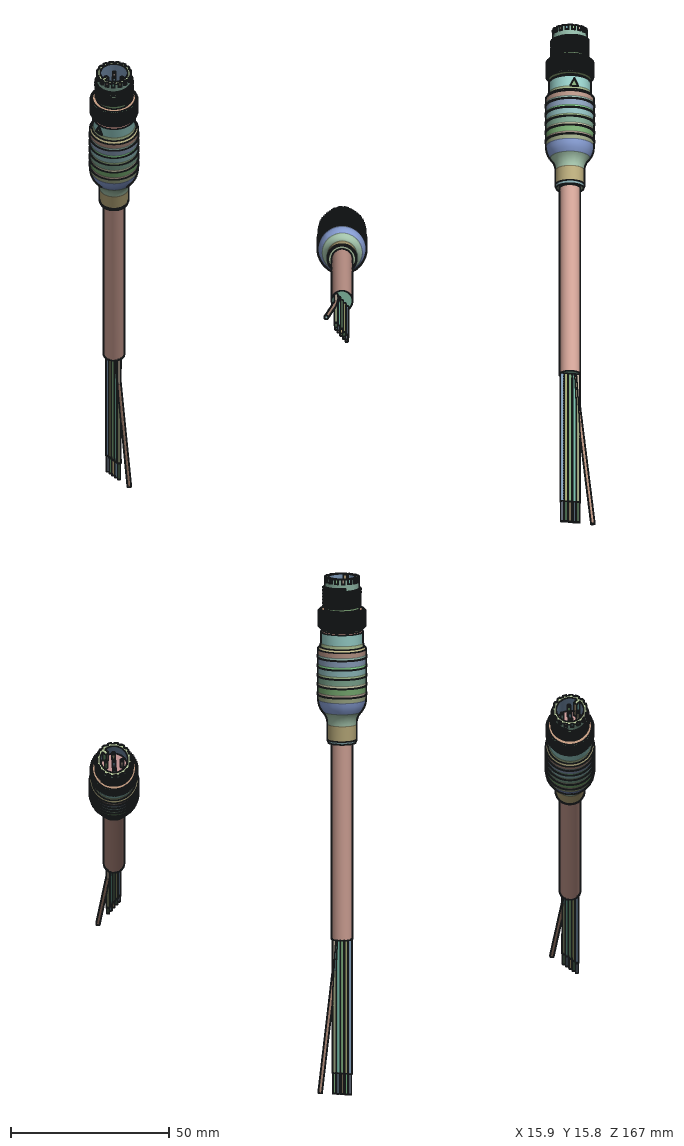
import cadquery as cq
import math


SLEEVE_RADIUS = 5.5
CUP_RADIUS = 4.3
CUP_DEPTH = 8.4
RIM_SLOT_COUNT = 16
RIM_SLOT_DEPTH = 1.5
RIM_SLOT_WIDTH = 1.0
RIM_SLOT_RADIUS = 5.2
KEY_WIDTH = 1.2
KEY_TIP_RADIUS = 2.8

PIN_RADIUS = 0.5
PIN_CHAMFER = 0.2
PIN_CIRCLE_RADIUS = 2.5
PIN_RECESS = 1.7
RING_PIN_COUNT = 4

THREAD_RADIUS = 6.0
THREAD_PITCH = 1.0
THREAD_TOP = 3.2
THREAD_BOTTOM = 9.5
THREAD_ROOT_OVERLAP = 0.2
THREAD_CREST_WIDTH = 0.2
THREAD_ROOT_WIDTH = 0.8

NUT_RADIUS = 7.5
NUT_TOP = 10.4
NUT_BOTTOM = 16.4
NUT_CHAMFER = 0.7
KNURL_COUNT = 72
KNURL_DEPTH = 0.3
COLLAR_RADIUS = 4.5

BOOT_TOP = 17.2
BOOT_TOP_RADIUS = 6.7
BOOT_TOP_CHAMFER = 0.5
STEP_DEPTH = 21.2
STEP_RADIUS = 7.0
SHOULDER_TOP = 22.4
SHOULDER_BOTTOM = 23.2
GRIP_RADIUS = 7.7
RIDGE_RADIUS = 7.9
RIDGE_COUNT = 5
RIDGE_PITCH = 3.0
FIRST_RIDGE_TOP = 24.9
RIDGE_CREST_DROP = 0.8
RIDGE_HEIGHT = 1.0
GRIP_BOTTOM = 39.5
BULGE_RADIUS = 7.4
BULGE_DEPTH = 41.5
INFLECTION_RADIUS = 6.3
INFLECTION_DEPTH = 43.3
FLARE_RADIUS = 5.2
FLARE_DEPTH = 45.0
WAIST_RADIUS = 4.7
WAIST_TOP = 47.5
WAIST_BOTTOM = 52.5
BOOT_BOTTOM = 53.5
BOOT_END_RADIUS = 4.3

ARROW_TIP = 18.5
ARROW_BASE = STEP_DEPTH
ARROW_HALF_WIDTH = 1.3
ARROW_RECESS = 0.3

CABLE_RADIUS = 3.3
CABLE_END = 116.8
PART_LENGTH = 167.0
WIRE_RADIUS = 0.63
WIRE_OFFSETS = (-2.59, -1.35, 0, 1.35, 2.59)
WIRE_Y = -0.25
WIRE_END = 166.9
STRIP_DEPTH = 160.2
CONDUCTOR_RADIUS = 0.47
WIRE_EMBED = 1.7
BENT_WIRE_START = 1.3
BENT_WIRE_REACH = 8.0


def rod(radius, top, bottom, x=0, y=0):
    """Upright cylinder between two depths."""
    return cq.Workplane("XY", origin=(x, y, -bottom)).circle(radius).extrude(bottom - top)


def make_sleeve():
    sleeve = rod(SLEEVE_RADIUS, 0, NUT_TOP + NUT_CHAMFER).cut(rod(CUP_RADIUS, 0, CUP_DEPTH))
    slot_length = SLEEVE_RADIUS
    slots = (
        cq.Workplane("XY")
        .polarArray(RIM_SLOT_RADIUS + slot_length / 2, 0, 360, RIM_SLOT_COUNT)
        .rect(slot_length, RIM_SLOT_WIDTH)
        .extrude(-RIM_SLOT_DEPTH)
    )
    key_wall_radius = (CUP_RADIUS + SLEEVE_RADIUS) / 2
    key_length = key_wall_radius - KEY_TIP_RADIUS
    key = (
        cq.Workplane("XY", origin=(0, -(KEY_TIP_RADIUS + key_length / 2), 0))
        .rect(KEY_WIDTH, key_length)
        .extrude(-CUP_DEPTH)
    )
    return sleeve.cut(slots).union(key)


def make_pin(x, y):
    pin_bottom = CUP_DEPTH + PIN_RADIUS
    return rod(PIN_RADIUS, PIN_RECESS, pin_bottom, x, y).faces(">Z").edges().chamfer(PIN_CHAMFER)


def make_pins():
    pins = make_pin(0, 0)
    for i in range(RING_PIN_COUNT):
        angle = 2 * math.pi * (i + 0.5) / RING_PIN_COUNT
        x = PIN_CIRCLE_RADIUS * math.cos(angle)
        y = PIN_CIRCLE_RADIUS * math.sin(angle)
        pins = pins.union(make_pin(x, y))
    return pins


def make_thread():
    root_radius = SLEEVE_RADIUS - THREAD_ROOT_OVERLAP
    path = cq.Wire.makeHelix(THREAD_PITCH, THREAD_BOTTOM - THREAD_TOP, root_radius)
    thread = (
        cq.Workplane("XZ")
        .moveTo(root_radius, -THREAD_ROOT_WIDTH / 2)
        .lineTo(THREAD_RADIUS, -THREAD_CREST_WIDTH / 2)
        .lineTo(THREAD_RADIUS, THREAD_CREST_WIDTH / 2)
        .lineTo(root_radius, THREAD_ROOT_WIDTH / 2)
        .close()
        .sweep(cq.Workplane(path), isFrenet=True)
    )
    return thread.translate((0, 0, -THREAD_BOTTOM))


def make_nut():
    knurl = []
    for i in range(2 * KNURL_COUNT):
        radius = NUT_RADIUS - KNURL_DEPTH * (i % 2)
        angle = math.pi * i / KNURL_COUNT
        knurl.append((radius * math.cos(angle), radius * math.sin(angle)))
    base = cq.Workplane("XY", origin=(0, 0, -NUT_BOTTOM))
    nut = base.polyline(knurl).close().extrude(NUT_BOTTOM - NUT_TOP)
    envelope = rod(NUT_RADIUS, NUT_TOP, NUT_BOTTOM).edges().chamfer(NUT_CHAMFER)
    collar = rod(COLLAR_RADIUS, NUT_BOTTOM - NUT_CHAMFER, BOOT_TOP + BOOT_TOP_CHAMFER)
    return nut.intersect(envelope).union(collar)


def make_boot():
    profile = (
        cq.Workplane("XZ")
        .moveTo(0, -BOOT_TOP)
        .lineTo(BOOT_TOP_RADIUS - BOOT_TOP_CHAMFER, -BOOT_TOP)
        .lineTo(BOOT_TOP_RADIUS, -BOOT_TOP - BOOT_TOP_CHAMFER)
        .lineTo(BOOT_TOP_RADIUS, -STEP_DEPTH)
        .lineTo(STEP_RADIUS, -SHOULDER_TOP)
        .lineTo(GRIP_RADIUS, -SHOULDER_BOTTOM)
    )
    for i in range(RIDGE_COUNT):
        ridge_top = FIRST_RIDGE_TOP + i * RIDGE_PITCH
        profile = (
            profile.lineTo(GRIP_RADIUS, -ridge_top)
            .lineTo(RIDGE_RADIUS, -ridge_top - RIDGE_CREST_DROP)
            .lineTo(GRIP_RADIUS, -ridge_top - RIDGE_HEIGHT)
        )
    profile = (
        profile.lineTo(GRIP_RADIUS, -GRIP_BOTTOM)
        .threePointArc((BULGE_RADIUS, -BULGE_DEPTH), (INFLECTION_RADIUS, -INFLECTION_DEPTH))
        .threePointArc((FLARE_RADIUS, -FLARE_DEPTH), (WAIST_RADIUS, -WAIST_TOP))
        .lineTo(WAIST_RADIUS, -WAIST_BOTTOM)
        .lineTo(BOOT_END_RADIUS, -BOOT_BOTTOM)
        .lineTo(0, -BOOT_BOTTOM)
    )
    arrow = (
        cq.Workplane("XZ", origin=(0, ARROW_RECESS - BOOT_TOP_RADIUS, 0))
        .moveTo(0, -ARROW_TIP)
        .lineTo(ARROW_HALF_WIDTH, -ARROW_BASE)
        .lineTo(-ARROW_HALF_WIDTH, -ARROW_BASE)
        .close()
        .extrude(BOOT_TOP_RADIUS)
    )
    boot = profile.close().revolve(360, (0, 0, 0), (0, 1, 0))
    return boot.cut(arrow)


def make_bent_wire():
    drop = PART_LENGTH - CABLE_END
    tilt = math.atan2(BENT_WIRE_REACH - WIRE_RADIUS - BENT_WIRE_START, drop)
    end_x = BENT_WIRE_REACH - WIRE_RADIUS * math.cos(tilt)
    end_z = WIRE_RADIUS * math.sin(tilt) - PART_LENGTH
    up = cq.Vector(-math.sin(tilt), 0, math.cos(tilt))
    length = (drop + WIRE_EMBED) / math.cos(tilt)
    return cq.Workplane(cq.Solid.makeCylinder(WIRE_RADIUS, length, cq.Vector(end_x, WIRE_Y, end_z), up))


def make_cable():
    cable = rod(CABLE_RADIUS, BOOT_BOTTOM - WIRE_EMBED, CABLE_END)
    for x in WIRE_OFFSETS:
        cable = cable.union(rod(WIRE_RADIUS, CABLE_END - WIRE_EMBED, STRIP_DEPTH, x, WIRE_Y))
        cable = cable.union(rod(CONDUCTOR_RADIUS, STRIP_DEPTH - WIRE_EMBED, WIRE_END, x, WIRE_Y))
    return cable.union(make_bent_wire())


result = (
    make_sleeve()
    .union(make_thread())
    .union(make_pins())
    .union(make_nut())
    .union(make_boot())
    .union(make_cable())
)